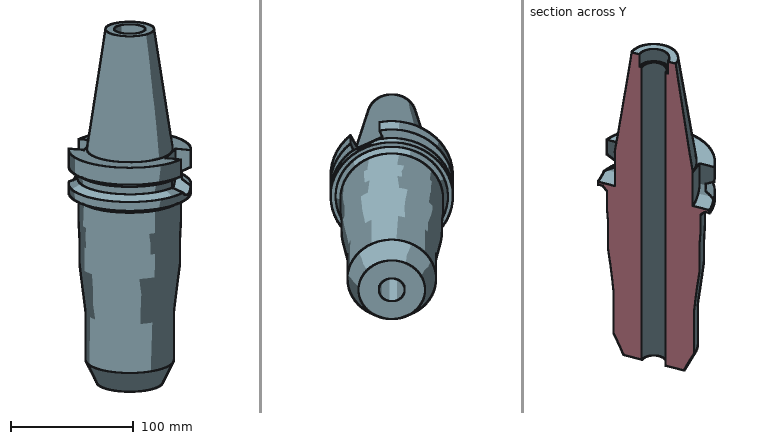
import cadquery as cq

total_height = 301.8
gauge_height = 200.0
flange_top = 199.0
upper_ring_bottom = 184.5
groove_top = 180.2
groove_bottom = 173.8
lower_ring_top = 169.5
flange_bottom = 162.0
collar_top = 157.8
collar_bottom = 138.5
band_top = 120.5
band_bottom = 100.5
nose_top = 60.5
nose_chamfer_top = 19.0

flange_radius = 100.0 / 2
groove_radius = 42.5
taper_small_radius = 20.0
taper_large_radius = 35.0
flange_underside_radius = 46.0
collar_radius = 42.0
band_radius = 41.0
nose_radius = 36.2
nose_tip_radius = 27.2

bore_radius = 10.5
socket_radius = 12.7
socket_depth = 12.0

slot_width = 26.5
slot_bottom = 165.5
slot_floor_distance = 35.0


def make_body():
    """Revolve the outer outline about the Z axis."""
    outline = [
        (0, 0),
        (nose_tip_radius, 0),
        (nose_radius, nose_chamfer_top),
        (nose_radius, nose_top),
        (band_radius, band_bottom),
        (band_radius, band_top),
        (collar_radius, collar_bottom),
        (collar_radius, collar_top),
        (flange_underside_radius, flange_bottom),
        (flange_radius, flange_bottom),
        (flange_radius, lower_ring_top),
        (groove_radius, groove_bottom),
        (groove_radius, groove_top),
        (flange_radius, upper_ring_bottom),
        (flange_radius, flange_top),
        (taper_large_radius, flange_top),
        (taper_large_radius, gauge_height),
        (taper_small_radius, total_height),
        (0, total_height),
    ]
    return cq.Workplane("YZ").polyline(outline).close().revolve(360, (0, 0), (0, 1))


def make_bore():
    """Through bore with a wider socket at the small end of the taper."""
    bore = cq.Workplane("XY").circle(bore_radius).extrude(total_height)
    socket_floor = total_height - socket_depth
    socket = cq.Workplane("XY").workplane(offset=socket_floor).circle(socket_radius).extrude(socket_depth)
    return bore.union(socket)


def make_drive_slot(side):
    """Round-bottomed slot, open upward and outward; side is +1 or -1 along X."""
    half_width = slot_width / 2
    arc_center = slot_bottom + half_width
    return (
        cq.Workplane("YZ")
        .workplane(offset=side * slot_floor_distance)
        .moveTo(-half_width, flange_top)
        .lineTo(-half_width, arc_center)
        .threePointArc((0, slot_bottom), (half_width, arc_center))
        .lineTo(half_width, flange_top)
        .close()
        .extrude(side * flange_radius)
    )


result = make_body().cut(make_bore())
for side in (-1, 1):
    result = result.cut(make_drive_slot(side))